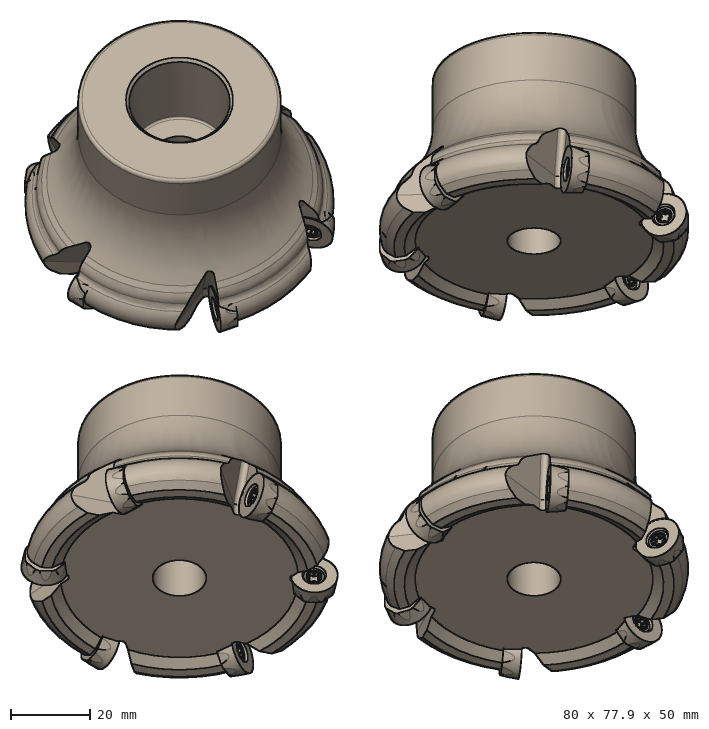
import cadquery as cq
import math

overall_height = 50.0
insert_count = 6

neck_diameter = 51.3
neck_radius = neck_diameter / 2
neck_bottom_z = 36.0
neck_edge_radius = 0.95
bore_diameter = 25.4
bore_depth = 24.0
bore_chamfer = 0.8
bore_floor_fillet = 0.55
bolt_hole_diameter = 13.5

skirt_arc_end_z = 16.8
skirt_cone_height = 1.3
skirt_angle = math.radians(45)
shoulder_radius = 36.15
shoulder_z = 12.8

rim_center_radius = 33.75
rim_center_z = 7.1
rim_radius = 5.2
rim_top_z = 10.95
rim_bevel_angle = 45
rim_bevel_inner_radius = 35.35
rim_inner_radius = 32.7
recess_z = 3.7
recess_radius = 30.0

insert_diameter = 12.0
insert_orbit_radius = 34.0
insert_thickness = 4.6
insert_relief = 7.0
facet_count = 8
facet_relief = 11.5
facet_back_apothem = 5.2

head_rim_diameter = 6.1
head_diameter = 5.3
head_depth = 0.6
socket_rim_diameter = 4.0
socket_diameter = 3.5
socket_chamfer_depth = 0.2
socket_depth = 1.6
lobe_count = 6
lobe_diameter = 0.95

gullet_angle = math.radians(46.5)
gullet_face_setback = 0.3
gullet_root_fillet = 1.2
gullet_vertex_radius = 26.3
gullet_reach = 32.0
gullet_tilt_run = 4.6
gullet_tilt_rise = 15.0
gullet_top_rise = 24.0


def rim_point(degrees_down):
    """Radius and height of the rim surface at an angle below its widest point."""
    angle = math.radians(degrees_down)
    return (
        rim_center_radius + rim_radius * math.cos(angle),
        rim_center_z - rim_radius * math.sin(angle),
    )


def make_holder_blank():
    """Turned profile of the holder, from the recess under it up to the top of the neck."""
    skirt_arc_radius = (neck_bottom_z - skirt_arc_end_z) / math.sin(skirt_angle)
    skirt_arc_end_radius = neck_radius + skirt_arc_radius * (1 - math.cos(skirt_angle))
    arc_mid_radius = neck_radius + skirt_arc_radius * (1 - math.cos(skirt_angle / 2))
    arc_mid_z = neck_bottom_z - skirt_arc_radius * math.sin(skirt_angle / 2)
    cone_end_radius = skirt_arc_end_radius + skirt_cone_height / math.tan(skirt_angle)
    cone_end_z = skirt_arc_end_z - skirt_cone_height
    rim_top_radius = rim_center_radius + math.sqrt(rim_radius**2 - (rim_top_z - rim_center_z) ** 2)
    rim_bottom_z = rim_center_z - rim_radius
    return (
        cq.Workplane("XZ")
        .moveTo(0, recess_z)
        .lineTo(0, overall_height)
        .lineTo(neck_radius, overall_height)
        .lineTo(neck_radius, neck_bottom_z)
        .threePointArc((arc_mid_radius, arc_mid_z), (skirt_arc_end_radius, skirt_arc_end_z))
        .lineTo(cone_end_radius, cone_end_z)
        .tangentArcPoint((shoulder_radius, shoulder_z), relative=False)
        .tangentArcPoint((rim_top_radius, rim_top_z), relative=False)
        .threePointArc(rim_point(0), rim_point(rim_bevel_angle))
        .lineTo(rim_bevel_inner_radius, rim_bottom_z)
        .lineTo(rim_inner_radius, rim_bottom_z)
        .lineTo(recess_radius, recess_z)
        .close()
        .revolve(360, (0, 0), (0, 1))
        .faces(">Z")
        .edges()
        .fillet(neck_edge_radius)
    )


def make_bore():
    """Mounting bore with a chamfered mouth and a rounded floor, and the bolt hole below it."""
    bore = (
        cq.Workplane("XY", origin=(0, 0, overall_height - bore_depth))
        .circle(bore_diameter / 2)
        .extrude(bore_depth)
        .faces("<Z")
        .edges()
        .fillet(bore_floor_fillet)
    )
    mouth_radius = bore_diameter / 2 + bore_chamfer
    mouth = cq.Solid.makeCone(
        bore_diameter / 2, mouth_radius, bore_chamfer, cq.Vector(0, 0, overall_height - bore_chamfer)
    )
    bolt_hole = cq.Workplane("XY").circle(bolt_hole_diameter / 2).extrude(overall_height)
    return bore.union(cq.Workplane(mouth)).union(bolt_hole)


def make_gullet():
    """V-shaped gullet in front of the +X insert: upright below the rim center, tilted outward above it."""
    wall_run = gullet_reach * math.cos(gullet_angle)
    wall_drop = gullet_reach * math.sin(gullet_angle)
    wedge = (
        cq.Workplane("XY", origin=(0, 0, rim_center_z))
        .moveTo(gullet_vertex_radius, gullet_face_setback)
        .lineTo(gullet_vertex_radius + gullet_reach, gullet_face_setback)
        .lineTo(gullet_vertex_radius + wall_run, gullet_face_setback - wall_drop)
        .close()
        .extrude(-rim_center_z)
        .edges("|Z and <X")
        .fillet(gullet_root_fillet)
    )
    outline = wedge.faces(">Z").wires().val()
    lean = gullet_top_rise * gullet_tilt_run / gullet_tilt_rise
    tilted_wedge = cq.Solid.extrudeLinear(outline, [], cq.Vector(lean, 0, gullet_top_rise))
    return wedge.union(cq.Workplane(tilted_wedge))


def insert_plane(depth=0):
    """Plane parallel to the cutting face of the +X insert; its normal points into the insert."""
    return cq.Plane((insert_orbit_radius, depth, insert_diameter / 2), (1, 0, 0), (0, 1, 0))


def make_insert_blank():
    """Tapered disc with planar indexing facets around its back."""
    disc = (
        cq.Workplane(insert_plane())
        .circle(insert_diameter / 2)
        .extrude(insert_thickness, taper=insert_relief)
    )
    facet_rise = insert_thickness * math.tan(math.radians(facet_relief))
    facet_face_diameter = 2 * (facet_back_apothem + facet_rise)
    facets = (
        cq.Workplane(insert_plane())
        .polygon(facet_count, facet_face_diameter, circumscribed=True)
        .extrude(insert_thickness, taper=facet_relief)
    )
    return disc.intersect(facets)


def countersink(depth, top_diameter, bottom_diameter, height):
    """Conical cut into the insert that starts at the given depth below its cutting face."""
    plane = insert_plane(depth)
    cone = cq.Solid.makeCone(top_diameter / 2, bottom_diameter / 2, height, plane.origin, plane.zDir)
    return cq.Workplane(cone)


def make_socket():
    """Sunken screw head with its six-lobed socket."""
    lobe_orbit_radius = (socket_diameter - lobe_diameter) / 2
    core = cq.Workplane(insert_plane(head_depth)).circle(lobe_orbit_radius).extrude(socket_depth)
    lobes = (
        cq.Workplane(insert_plane(head_depth))
        .polarArray(lobe_orbit_radius, 0, 360, lobe_count)
        .circle(lobe_diameter / 2)
        .extrude(socket_depth)
    )
    head_recess = countersink(0, head_rim_diameter, head_diameter, head_depth)
    socket_mouth = countersink(head_depth, socket_rim_diameter, socket_diameter, socket_chamfer_depth)
    return core.union(lobes).union(head_recess).union(socket_mouth)


insert_blank = make_insert_blank()
insert = insert_blank.cut(make_socket())
gullet = make_gullet()

holder = make_holder_blank().cut(make_bore())
inserts = []
for index in range(insert_count):
    angle = index * 360 / insert_count
    holder = holder.cut(gullet.rotate((0, 0, 0), (0, 0, 1), angle))
    holder = holder.cut(insert_blank.rotate((0, 0, 0), (0, 0, 1), angle))
    inserts.append(insert.rotate((0, 0, 0), (0, 0, 1), angle).solids().val())

result = cq.Compound.makeCompound([holder.solids().val(), *inserts])